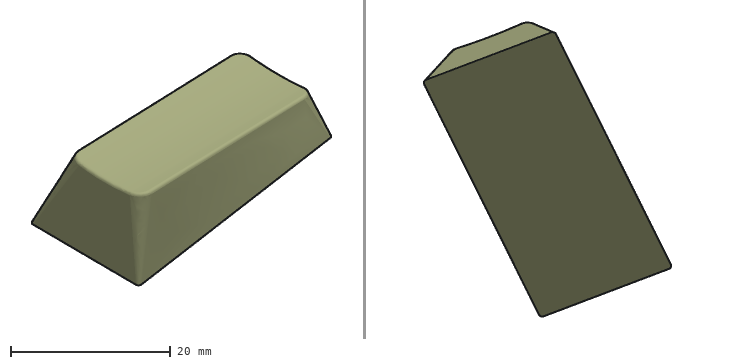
import cadquery as cq
import math

base_width = 18.1
base_length = 37.15
base_corner_radius = 0.5

top_width = 11.95
top_corner_radius = 2.0
top_front_y = -14.53
top_back_y = 18.4
top_front_z = 10.62
top_slope = 8.0

trough_radius = 35.3
trough_depth = 0.52

rim_fillet = 0.5

slope_angle = math.radians(top_slope)
top_run = top_back_y - top_front_y
top_length = top_run / math.cos(slope_angle)
top_center_y = (top_front_y + top_back_y) / 2
top_center_z = top_front_z - top_run / 2 * math.tan(slope_angle)
top_plane = cq.Plane(
    origin=(0, top_center_y, top_center_z),
    xDir=(1, 0, 0),
    normal=(0, math.sin(slope_angle), math.cos(slope_angle)),
)


def rounded_rectangle(width, length, radius):
    """Rectangle with four rounded corners, centered on its origin."""
    return cq.Sketch().rect(width, length).vertices().fillet(radius)


def make_body():
    """Tapered block: straight walls from the footprint up to the sloped top."""
    base = rounded_rectangle(base_width, base_length, base_corner_radius)
    top = rounded_rectangle(top_width, top_length, top_corner_radius)
    top = top.moved(cq.Location(top_plane))
    return cq.Workplane().placeSketch(base, top).loft(ruled=True)


def make_trough():
    """Long cylinder parallel to the sloped top, dipping into it by the trough depth."""
    axis_plane = cq.Plane(top_plane.origin, top_plane.xDir, top_plane.yDir)
    return (
        cq.Workplane(axis_plane)
        .center(0, trough_depth - trough_radius)
        .circle(trough_radius)
        .extrude(base_length, both=True)
    )


body = make_body().cut(make_trough())

result = body.faces(">Z").edges().fillet(rim_fillet)